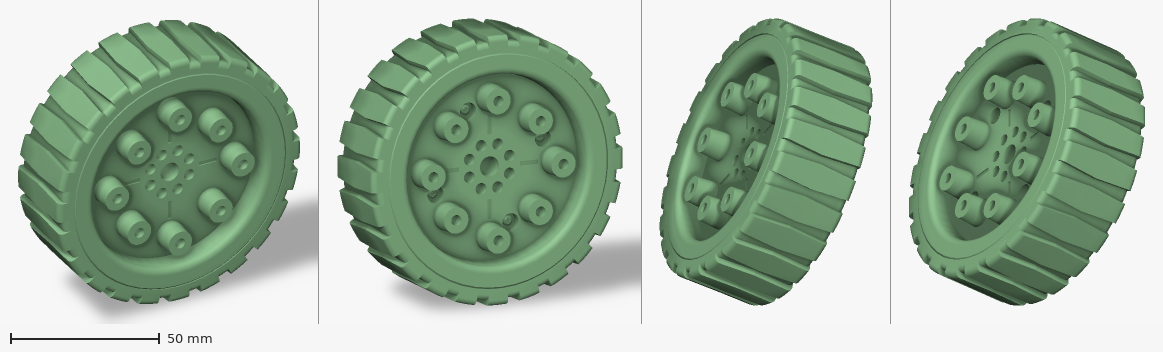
import cadquery as cq
import math

width = 30.0
wheel_radius = 46.5
half_width = width / 2

tread_depth = 2.0
shoulder_radius = 1.95
lug_count = 24
lug_width_at_side = 7.1
lug_width_at_middle = 9.0
lug_root_radius = 41.85
tyre_bore_radius = 40.55

rim_edge_chamfer = 0.6
rim_lip_radius = 2.3
rim_opening_radius = 35.3
recess_depth = 7.4
recess_draft_angle = 8.0
web_face = half_width - recess_depth

bosses_per_circle = 4
straight_boss_circle_radius = 24.0
diagonal_boss_circle_radius = 22.0
boss_base_radius = 5.0
boss_tip_radius = 4.5
boss_hole_diameter = 3.7

axle_bore_diameter = 7.0
mount_hole_count = 8
mount_hole_diameter = 4.0
mount_circle_radius = 8.0

groove_count = 4
groove_width = 1.5
groove_length = 6.8
groove_inner_radius = 11.25
groove_depth = 0.5

screw_count = 4
screw_circle_radius = 21.3
screw_start_angle = 68.4
counterbore_radius = 3.0
counterbore_depth = 4.0
head_radius = 1.8
head_rim_height = 1.5
head_height = 2.4
shank_radius = 1.0
shank_length = 5.6
cross_length = 2.3
cross_width = 1.0
cross_depth = 0.7
cross_taper_angle = 15.0

screw_seat = -web_face + counterbore_depth


def around_axle(shape, angle):
    """Turn a shape about the wheel axle."""
    return shape.rotate((0, 0, 0), (1, 0, 0), angle)


def revolve_about_axle(profile):
    return profile.close().revolve(360, (0, 0, 0), (1, 0, 0))


def rod(radius, start, end):
    """A cylinder on the axle line from X = start to X = end."""
    return cq.Workplane("YZ", origin=(start, 0, 0)).circle(radius).extrude(end - start)


def ring_positions(count, circle_radius, start_angle=0.0):
    """(Y, Z) points evenly spaced on a circle, the angle being measured from +Y towards +Z."""
    angles = [math.radians(start_angle + i * 360 / count) for i in range(count)]
    return [(circle_radius * math.cos(a), circle_radius * math.sin(a)) for a in angles]


def screw_positions():
    return ring_positions(screw_count, screw_circle_radius, screw_start_angle)


def round_shouldered_ring(outer_radius, inner_radius):
    """A full-width ring whose two outer edges are rounded."""
    ring = rod(outer_radius, -half_width, half_width).edges().fillet(shoulder_radius)
    return ring.cut(rod(inner_radius, -half_width, half_width))


def make_lug():
    """One tread lug at +Z, widest on the middle plane, with flat flanks."""
    side = lug_width_at_side / 2
    middle = lug_width_at_middle / 2
    outline = [
        (-half_width, -side),
        (0, -middle),
        (half_width, -side),
        (half_width, side),
        (0, middle),
        (-half_width, side),
    ]
    block = cq.Workplane("XY").polyline(outline).close().extrude(wheel_radius + tread_depth)
    return block.intersect(round_shouldered_ring(wheel_radius, lug_root_radius))


def make_tyre():
    tyre = round_shouldered_ring(wheel_radius - tread_depth, tyre_bore_radius)
    lug = make_lug()
    for i in range(lug_count):
        tyre = tyre.union(around_axle(lug, i * 360 / lug_count))
    return tyre


def lip_point(sweep):
    """(X, radius) of the point on the +X rim lip that lies at an angle round its arc from the side face."""
    x = half_width - rim_lip_radius * (1 - math.cos(sweep))
    return x, rim_opening_radius - rim_lip_radius * math.sin(sweep)


def make_rim_and_web():
    """Rim with a rounded lip and a tapered wall, joined by the web, as one revolved profile."""
    draft = math.radians(recess_draft_angle)
    lip_sweep = math.pi / 2 - draft
    lip_x, lip_radius = lip_point(lip_sweep)
    lip_middle_x, lip_middle_radius = lip_point(lip_sweep / 2)
    floor_radius = lip_radius - (lip_x - web_face) * math.tan(draft)
    chamfer_x = half_width - rim_edge_chamfer
    chamfer_radius = tyre_bore_radius - rim_edge_chamfer
    profile = (
        cq.Workplane("XY")
        .moveTo(-web_face, 0)
        .lineTo(-web_face, floor_radius)
        .lineTo(-lip_x, lip_radius)
        .threePointArc((-lip_middle_x, lip_middle_radius), (-half_width, rim_opening_radius))
        .lineTo(-half_width, chamfer_radius)
        .lineTo(-chamfer_x, tyre_bore_radius)
        .lineTo(chamfer_x, tyre_bore_radius)
        .lineTo(half_width, chamfer_radius)
        .lineTo(half_width, rim_opening_radius)
        .threePointArc((lip_middle_x, lip_middle_radius), (lip_x, lip_radius))
        .lineTo(web_face, floor_radius)
        .lineTo(web_face, 0)
    )
    return revolve_about_axle(profile)


def make_boss_pair():
    """Two tapered bosses on the axle line, one standing on each face of the web."""
    profile = (
        cq.Workplane("XY")
        .moveTo(-half_width, 0)
        .lineTo(-half_width, boss_tip_radius)
        .lineTo(-web_face, boss_base_radius)
        .lineTo(web_face, boss_base_radius)
        .lineTo(half_width, boss_tip_radius)
        .lineTo(half_width, 0)
    )
    return revolve_about_axle(profile)


def make_marking_groove():
    """The pair of shallow grooves along +Z, one in each face of the web."""
    centre_z = groove_inner_radius + groove_length / 2
    groove = cq.Workplane("XY").box(2 * groove_depth, groove_width, groove_length)
    near = groove.translate((-web_face, 0, centre_z))
    far = groove.translate((web_face, 0, centre_z))
    return near.add(far)


def through_holes(positions, diameter):
    start = cq.Workplane("YZ", origin=(-half_width, 0, 0))
    return start.pushPoints(positions).circle(diameter / 2).extrude(width)


def make_hub():
    hub = make_rim_and_web()
    diagonal = 180 / bosses_per_circle
    boss_positions = ring_positions(bosses_per_circle, straight_boss_circle_radius)
    boss_positions += ring_positions(bosses_per_circle, diagonal_boss_circle_radius, diagonal)
    boss_pair = make_boss_pair()
    for y, z in boss_positions:
        hub = hub.union(boss_pair.translate((0, y, z)))
    hub = hub.cut(through_holes(boss_positions, boss_hole_diameter))

    hub = hub.cut(through_holes([(0, 0)], axle_bore_diameter))
    half_pitch = 180 / mount_hole_count
    mount_positions = ring_positions(mount_hole_count, mount_circle_radius, half_pitch)
    hub = hub.cut(through_holes(mount_positions, mount_hole_diameter))

    grooves = make_marking_groove()
    for i in range(groove_count):
        for groove in grooves.vals():
            hub = hub.cut(around_axle(cq.Workplane(groove), i * 360 / groove_count))

    counterbore = rod(counterbore_radius, -web_face, screw_seat)
    shank_hole = rod(shank_radius, screw_seat, screw_seat + shank_length)
    for y, z in screw_positions():
        hub = hub.cut(counterbore.translate((0, y, z)))
        hub = hub.cut(shank_hole.translate((0, y, z)))
    return hub


def make_screw():
    """A cross-recess screw on the axle line, its domed head towards -X, seated at X = 0."""
    head_top = -head_height
    dome_height = head_height - head_rim_height
    dome_radius = (head_radius**2 + dome_height**2) / (2 * dome_height)
    half_chord = head_radius / 2
    dome_middle_x = head_top + dome_radius - math.sqrt(dome_radius**2 - half_chord**2)
    profile = (
        cq.Workplane("XY")
        .moveTo(head_top, 0)
        .threePointArc((dome_middle_x, half_chord), (-head_rim_height, head_radius))
        .lineTo(0, head_radius)
        .lineTo(0, shank_radius)
        .lineTo(shank_length, shank_radius)
        .lineTo(shank_length, 0)
    )
    screw = revolve_about_axle(profile)
    slot = (
        cq.Workplane("YZ", origin=(head_top, 0, 0))
        .rect(cross_length, cross_width)
        .extrude(cross_depth, taper=cross_taper_angle)
    )
    return screw.cut(slot).cut(around_axle(slot, 90))


tyre = make_tyre()
hub = make_hub()
screw = make_screw()
screws = [screw.translate((screw_seat, y, z)).val() for y, z in screw_positions()]

result = cq.Compound.makeCompound([tyre.val(), hub.val(), *screws])